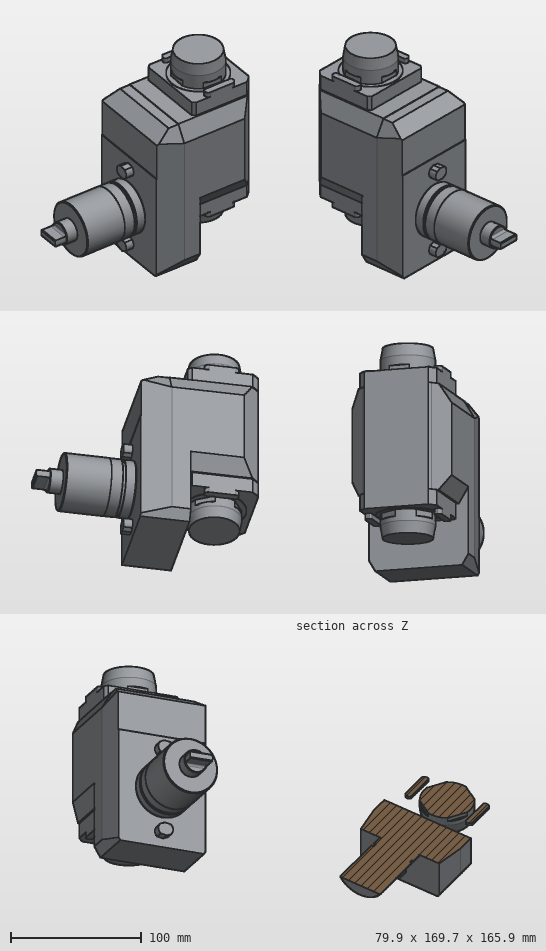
import cadquery as cq
import math


half_width = 39.96
front_half_width = 36.1
taper_start_y = 23.5
housing_back_y = 94.0
corner_start_y = 80.0
corner_end = (27.7, 92.7)
housing_top = 85.2
front_top_step = 0.3
housing_base = 1.7
leg_bottom = -46.3
leg_back_y = 38.4
side_bevel_width = 7.8
side_bevel_height = 13.7
underside_bevel_height = 12.9
foot_bevel_width = 5.1
foot_bevel_height = 8.5
nose_bevel_depth = 15.0
nose_bevel_height = 9.0
face_relief_bottom = 45.3
face_relief_depth = 0.5

spindle_y = 64.8
plate_half_width = 30.9
plate_height = 12.0
plate_corner_radius = 38.9
disc_diameter = 49.2
disc_height = 0.3
lug_length = 26.8
lug_width = 5.8
lug_height = 4.2
lug_outer_radius = 2.9
lug_inner_radius = 1.7
nut_diameter = 42.3
nut_tip_diameter = 38.9
nut_cone_height = 9.5
upper_nut_height = 22.4
lower_nut_height = 18.7
wrench_flat_height = 5.5
wrench_flat_distance = 19.5
upper_nut_turn = -2.2
lower_nut_turn = -32

shank_diameter = 45.0
shank_seat_diameter = 44.8
shank_seat_length = 19.7
shank_length = 54.8
shank_root_chamfer = 0.8
shank_end_chamfer = 0.7
groove_diameter = 42.0
groove_start = 8.3
groove_width = 2.4
spigot_diameter = 18.7
spigot_end = 64.8
spigot_chamfer = 0.5
tongue_thickness = 5.8
tongue_end = 75.7
tongue_root_radius = 2.0
tongue_chamfer = 0.7

pin_radius = 6.1
pin_roof_points = [(-4.5, 3.5), (-1.0, 5.3), (4.2, 4.4)]
pin_length = 7.0
pin_offset = 34.0

plate_front_y = leg_back_y


def box(x_half, y_range, z_range):
    """Box centred on X = 0 between two Y and two Z levels."""
    y_size = y_range[1] - y_range[0]
    z_size = z_range[1] - z_range[0]
    block = cq.Workplane("XY").box(2 * x_half, y_size, z_size, centered=(True, False, False))
    return block.translate((0, y_range[0], z_range[0]))


def bevelled_section(z_range, base_bevel, top_bevel):
    """Prism along Y whose XZ outline has bevelled lower and upper corners."""
    z_low, z_high = z_range
    base_x, base_z = base_bevel
    top_x, top_z = top_bevel
    right_side = [
        (half_width - base_x, z_low),
        (half_width, z_low + base_z),
        (half_width, z_high - top_z),
        (half_width - top_x, z_high),
    ]
    left_side = [(-x, z) for x, z in reversed(right_side)]
    outline = cq.Workplane("XZ").polyline(right_side + left_side).close()
    return outline.extrude(-housing_back_y)


def housing_plan():
    """Prism along Z with the tapered front and the cut, rounded rear corners."""
    corner_x, corner_y = corner_end
    back_offset = housing_back_y - spindle_y
    back_x = math.sqrt(plate_corner_radius**2 - back_offset**2)
    return (
        cq.Workplane("XY", origin=(0, 0, leg_bottom))
        .moveTo(-front_half_width, 0)
        .lineTo(front_half_width, 0)
        .lineTo(half_width, taper_start_y)
        .lineTo(half_width, corner_start_y)
        .lineTo(corner_x, corner_y)
        .radiusArc((back_x, housing_back_y), -plate_corner_radius)
        .lineTo(-back_x, housing_back_y)
        .radiusArc((-corner_x, corner_y), -plate_corner_radius)
        .lineTo(-half_width, corner_start_y)
        .lineTo(-half_width, taper_start_y)
        .close()
        .extrude(housing_top - leg_bottom)
    )


def housing():
    rear_bevel = (side_bevel_width, side_bevel_height)
    underside_bevel = (side_bevel_width, underside_bevel_height)
    front_bevel = (side_bevel_width, side_bevel_height - front_top_step)
    foot_bevel = (foot_bevel_width, foot_bevel_height)
    front_top = housing_top - front_top_step

    rear = bevelled_section((housing_base, housing_top), underside_bevel, rear_bevel)
    rear = rear.intersect(box(half_width, (taper_start_y, housing_back_y), (housing_base, housing_top)))
    leg = bevelled_section((leg_bottom, front_top), foot_bevel, front_bevel)
    leg = leg.intersect(box(half_width, (0, taper_start_y), (leg_bottom, front_top)))
    foot = bevelled_section((leg_bottom, housing_top), foot_bevel, rear_bevel)
    foot = foot.intersect(box(half_width, (taper_start_y, leg_back_y), (leg_bottom, housing_top)))
    body = rear.union(leg).union(foot).intersect(housing_plan())
    nose_cut = (
        cq.Workplane("YZ", origin=(-half_width, 0, 0))
        .polyline([
            (0, housing_top - nose_bevel_height),
            (nose_bevel_depth, housing_top),
            (0, housing_top),
        ])
        .close()
        .extrude(2 * half_width)
    )
    relief = box(half_width, (0, face_relief_depth), (face_relief_bottom, housing_top))
    return body.cut(nose_cut).cut(relief)


def lug():
    """Raised key along the +X edge of a mounting plate."""
    block = (
        cq.Workplane("XY")
        .box(lug_width, lug_length, plate_height + lug_height, centered=(True, True, False))
        .edges("|Z and >X").fillet(lug_outer_radius)
        .edges("|Z and <X").fillet(lug_inner_radius)
    )
    return block.translate((plate_half_width - lug_width / 2, 0, 0))


def clamping_nut(height, turn):
    """Nut with a tapered tip and four wrench flats at its foot."""
    radius = nut_diameter / 2
    nut = (
        cq.Workplane("XZ")
        .polyline([
            (0, 0),
            (radius, 0),
            (radius, height - nut_cone_height),
            (nut_tip_diameter / 2, height),
            (0, height),
        ])
        .close()
        .revolve(360, (0, 0, 0), (0, 1, 0))
    )
    flat_cut = (
        cq.Workplane("XY")
        .box(radius, nut_diameter, wrench_flat_height, centered=(False, True, False))
        .translate((wrench_flat_distance, 0, 0))
    )
    for quarter in range(4):
        nut = nut.cut(flat_cut.rotate((0, 0, 0), (0, 0, 1), turn + 90 * quarter))
    return nut


def spindle(nut_height, nut_turn):
    """Mounting plate with lugs and nut; axis on Z, seat at Z = 0."""
    plate = box(plate_half_width, (plate_front_y - spindle_y, housing_back_y - spindle_y), (0, plate_height))
    plate = plate.intersect(cq.Workplane("XY").circle(plate_corner_radius).extrude(plate_height))
    disc = cq.Workplane("XY").circle(disc_diameter / 2).extrude(plate_height + disc_height)
    nut = clamping_nut(nut_height, nut_turn).translate((0, 0, plate_height))
    right_lug = lug()
    return plate.union(disc).union(right_lug).union(right_lug.mirror("YZ")).union(nut)


def cylinder(diameter, start, end):
    """Cylinder on the shank axis between two distances in front of the housing."""
    return cq.Workplane("XZ", origin=(0, -start, 0)).circle(diameter / 2).extrude(end - start)


def shank():
    seat = cylinder(shank_seat_diameter, 0, shank_seat_length).faces(">Y").chamfer(shank_root_chamfer)
    barrel = cylinder(shank_diameter, shank_seat_length, shank_length).faces("<Y").chamfer(shank_end_chamfer)
    groove_end = groove_start + groove_width
    groove = cylinder(2 * shank_diameter, groove_start, groove_end)
    groove = groove.cut(cylinder(groove_diameter, groove_start, groove_end))
    return seat.union(barrel).cut(groove)


def drive_tongue():
    """Round spigot that ends in a flat driving tongue with rounded roots."""
    spigot = cylinder(spigot_diameter, shank_length, spigot_end).faces("<Y").chamfer(spigot_chamfer)
    half = tongue_thickness / 2
    root = tongue_root_radius
    profile = (
        cq.Workplane("YZ", origin=(-spigot_diameter / 2, 0, 0))
        .moveTo(-spigot_end, half + root)
        .radiusArc((-spigot_end - root, half), root)
        .lineTo(-tongue_end + tongue_chamfer, half)
        .lineTo(-tongue_end, half - tongue_chamfer)
        .lineTo(-tongue_end, -half + tongue_chamfer)
        .lineTo(-tongue_end + tongue_chamfer, -half)
        .lineTo(-spigot_end - root, -half)
        .radiusArc((-spigot_end, -half - root), root)
        .close()
        .extrude(spigot_diameter)
    )
    tongue = profile.intersect(cylinder(spigot_diameter, spigot_end, tongue_end))
    return spigot.union(tongue)


def locating_pins():
    """Two round pins, each with a pair of facets on two opposite sides."""
    opposite_points = [(-x, -z) for x, z in pin_roof_points]
    pin = (
        cq.Workplane("XZ")
        .polyline(pin_roof_points)
        .threePointArc((pin_radius, 0), opposite_points[0])
        .lineTo(*opposite_points[1])
        .lineTo(*opposite_points[2])
        .threePointArc((-pin_radius, 0), pin_roof_points[0])
        .close()
        .extrude(pin_length)
    )
    return pin.translate((0, 0, pin_offset)).union(pin.translate((0, 0, -pin_offset)))


upper_spindle = spindle(upper_nut_height, upper_nut_turn).translate((0, spindle_y, housing_top))
lower_spindle = (
    spindle(lower_nut_height, lower_nut_turn)
    .mirror("XY")
    .translate((0, spindle_y, housing_base))
)

result = (
    housing()
    .union(upper_spindle)
    .union(lower_spindle)
    .union(shank())
    .union(drive_tongue())
    .union(locating_pins())
)